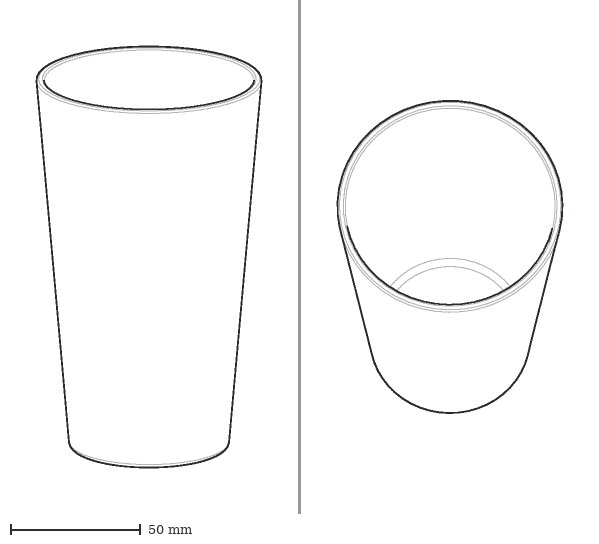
import cadquery as cq

height = 148.0
top_radius = 43.5
base_radius = 30.8

wall = 3.0
floor_thickness = 10.0

rim_fillet = 0.7
outer_base_fillet = 2.0
inner_base_fillet = 2.5


def tapered_solid(lower_radius, upper_radius, lower_z, upper_z):
    """Solid cone frustum about the Z axis."""
    profile = (
        cq.Workplane("XZ")
        .moveTo(0, lower_z)
        .lineTo(lower_radius, lower_z)
        .lineTo(upper_radius, upper_z)
        .lineTo(0, upper_z)
        .close()
    )
    return profile.revolve(360, (0, 0, 0), (0, 1, 0))


body = tapered_solid(base_radius, top_radius, 0, height)
body = body.faces("<Z").edges().fillet(outer_base_fillet)

slope = (top_radius - base_radius) / height
floor_radius = base_radius + slope * floor_thickness - wall
cavity = tapered_solid(floor_radius, top_radius - wall, floor_thickness, height)
cavity = cavity.faces("<Z").edges().fillet(inner_base_fillet)

cup = body.cut(cavity)
result = cup.faces(">Z").edges().fillet(rim_fillet)